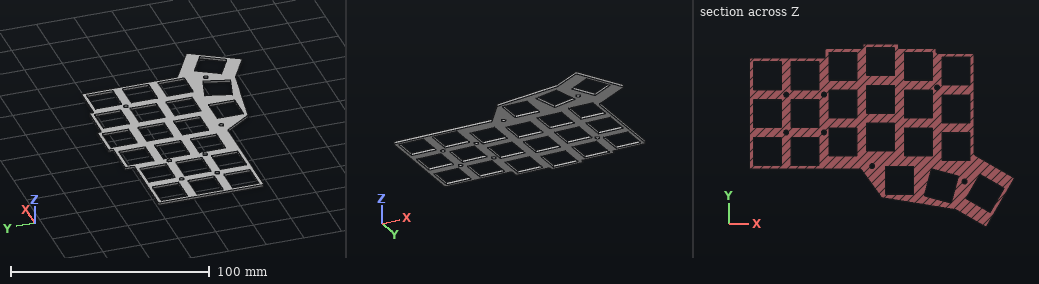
import cadquery as cq
import math

overall_length = 133.2
plate_thickness = 1.5
corner_radius = 0.9
step_radius = 0.5

opening_size = 13.9
rim = 2.1
cell = opening_size / 2 + rim

column_count = 6
row_count = 3
field_width = 113.1
pitch = (field_width - 2 * cell) / (column_count - 1)
stagger_step = pitch / 8
column_raises = [stagger_step * steps for steps in (0, 0, 2, 3, 2, 1)]
field_height = 2 * cell + (row_count - 1) * pitch

thumb_end_center = (118.7, -12.4)
thumb_end_rotation = -30
thumb_end_half_length = 14.4

thumb_start_x = 56.1
thumb_corner = (66.5, -14.4)
thumb_bend_x = 103.9

first_thumb_column = 3.5
thumb_keys = [
    (cell + first_thumb_column * pitch, -5.6, 0),
    (96.5, -8.4, thumb_end_rotation / 2),
    (118.5, -12.1, thumb_end_rotation),
]

screw_diameter = 2.3
inner_screw_columns = (1, 2)
thumb_left_screw = (61.8, 1.6)
thumb_right_screw = (108.3, -6.1)
outer_screw = (94.4, 41.2)


def column_x(column):
    return cell + column * pitch


def thumb_end_distance():
    """Distance from the thumb end centre to the end edge.

    The rounded upper corner of that edge is the rightmost spot of the plate.
    """
    tilt = math.radians(-thumb_end_rotation)
    rounding_loss = corner_radius * (math.cos(tilt) + math.sin(tilt) - 1)
    sharp_corner_x = overall_length + rounding_loss
    side_offset_x = thumb_end_half_length * math.sin(tilt)
    return (sharp_corner_x - thumb_end_center[0] - side_offset_x) / math.cos(tilt)


def thumb_end_point(along, across):
    """Point measured from the thumb end centre along its rotated axes."""
    x, y = thumb_end_center
    angle = math.radians(thumb_end_rotation)
    return (
        x + along * math.cos(angle) - across * math.sin(angle),
        y + along * math.sin(angle) + across * math.cos(angle),
    )


def thumb_side_y(x, across):
    """Height of a long side of the thumb end at a given x."""
    start_x, start_y = thumb_end_point(0, across)
    return start_y + (x - start_x) * math.tan(math.radians(thumb_end_rotation))


def step_points():
    """Corners along the top edge wherever neighbouring columns differ in height."""
    tops = [field_height + offset for offset in column_raises]
    points = []
    for column in range(1, column_count):
        low, high = tops[column - 1], tops[column]
        if high > low:
            step_x = column_x(column) - cell
        elif high < low:
            step_x = column_x(column - 1) + cell
        else:
            continue
        points += [(step_x, low), (step_x, high)]
    return points


def plate_corners():
    """Outline corners other than the top steps, clockwise from the upper right one."""
    end_distance = thumb_end_distance()
    return [
        (field_width, field_height + column_raises[-1]),
        (field_width, thumb_side_y(field_width, thumb_end_half_length)),
        thumb_end_point(end_distance, thumb_end_half_length),
        thumb_end_point(end_distance, -thumb_end_half_length),
        (thumb_bend_x, thumb_side_y(thumb_bend_x, -thumb_end_half_length)),
        thumb_corner,
        (thumb_start_x, 0),
        (0, 0),
        (0, field_height),
    ]


def round_corners(body, corners, radius):
    for x, y in corners:
        nearest_edge = cq.selectors.NearestToPointSelector((x, y, plate_thickness / 2))
        body = body.edges("|Z").edges(nearest_edge).fillet(radius)
    return body


def key_opening(x, y, rotation=0):
    opening = cq.Workplane("XY").rect(opening_size, opening_size).extrude(plate_thickness)
    return opening.rotate((0, 0, 0), (0, 0, 1), rotation).translate((x, y, 0))


def screw_points():
    points = [thumb_left_screw, thumb_right_screw, outer_screw]
    for column in inner_screw_columns:
        for row in range(1, row_count):
            points.append((column_x(column - 0.5), cell + (row - 0.5) * pitch))
    return points


plate = cq.Workplane("XY").polyline(step_points() + plate_corners()).close().extrude(plate_thickness)
plate = round_corners(plate, plate_corners(), corner_radius)
plate = round_corners(plate, step_points(), step_radius)

for column in range(column_count):
    for row in range(row_count):
        key_y = cell + row * pitch + column_raises[column]
        plate = plate.cut(key_opening(column_x(column), key_y))

for x, y, rotation in thumb_keys:
    plate = plate.cut(key_opening(x, y, rotation))

screw_holes = (
    cq.Workplane("XY")
    .pushPoints(screw_points())
    .circle(screw_diameter / 2)
    .extrude(plate_thickness)
)
result = plate.cut(screw_holes)